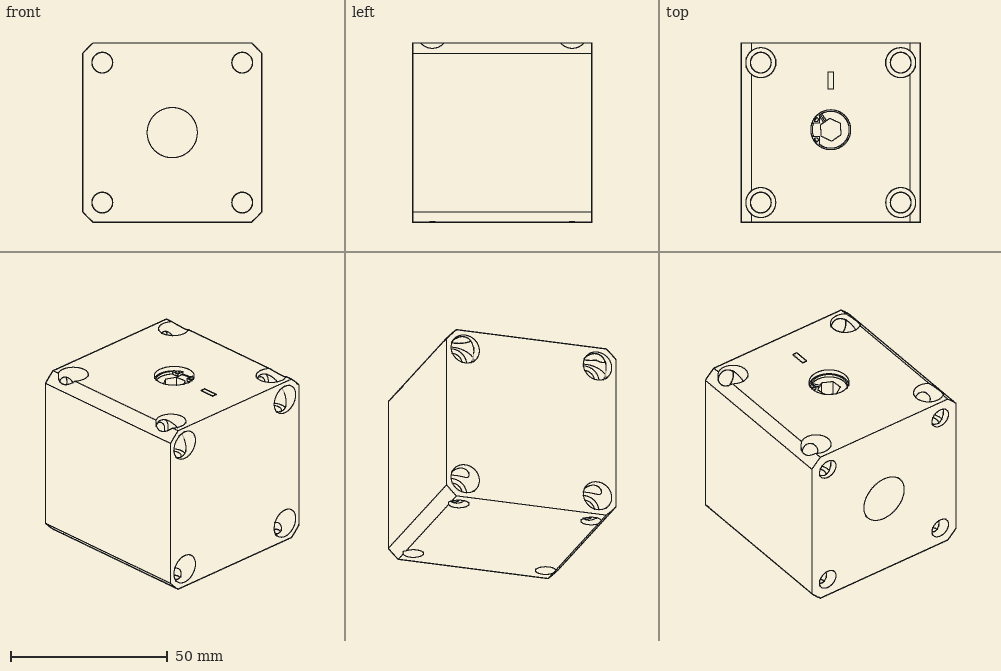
import cadquery as cq
import math

side = 57.15
half = side / 2
turned_diameter = 76.25
bore_diameter = 16.0
bore_depth = 20.0

hole_offset = 22.3
hole_diameter = 6.5
counterbore_diameter = 9.55
counterbore_depth = 12.45

mark_width = 1.6
mark_length = 5.3
mark_centre_y = 16.65
mark_depth = 0.1

cam_y = 0.9
cam_diameter = 11.8
pocket_diameter = 12.75
pocket_depth = 2.45
cam_top = half - pocket_depth
cam_height = 17.15
cam_bottom = cam_top - cam_height

hex_sector = 60.0
hex_across_flats = 6.35
hex_depth = 8.0
hex_turn = 4.5
pointer_angle = hex_turn + 2 * hex_sector
pointer_width = 1.05
pointer_depth = 0.3

ring_thickness = 0.9
ring_inner_diameter = cam_diameter
ear_inner_x = -3.65
ear_gap_half = 2.1
ear_end_y = 4.6
ear_hole_x = -4.6
ear_hole_y = 3.2
ear_hole_diameter = 1.25


def corner_points():
    return [(x, y) for x in (-hole_offset, hole_offset) for y in (-hole_offset, hole_offset)]


def cam_axis_cylinder(diameter, top, bottom):
    """Upright cylinder on the cam axis, between two heights."""
    return cq.Workplane("XY", origin=(0, cam_y, bottom)).circle(diameter / 2).extrude(top - bottom)


def counterbored_holes():
    """Cutter for four upright through holes, counterbored from the top."""
    holes = cq.Workplane("XY").pushPoints(corner_points()).circle(hole_diameter / 2).extrude(half, both=True)
    counterbores = (
        cq.Workplane("XY", origin=(0, 0, half))
        .pushPoints(corner_points())
        .circle(counterbore_diameter / 2)
        .extrude(-counterbore_depth)
    )
    return holes.union(counterbores)


def make_block():
    block = cq.Workplane("XY").box(side, side, side)
    turned_bar = cq.Workplane("XZ").circle(turned_diameter / 2).extrude(half, both=True)
    block = block.intersect(turned_bar)

    bore = cq.Workplane("XZ", origin=(0, -half, 0)).circle(bore_diameter / 2).extrude(-bore_depth)
    block = block.cut(bore)

    upright_holes = counterbored_holes()
    across_holes = upright_holes.rotate((0, 0, 0), (1, 0, 0), -90)
    block = block.cut(upright_holes).cut(across_holes)

    mark = (
        cq.Workplane("XY", origin=(0, mark_centre_y, half))
        .rect(mark_width, mark_length)
        .extrude(-mark_depth)
    )
    block = block.cut(mark)

    block = block.cut(cam_axis_cylinder(pocket_diameter, half, cam_top))
    return block.cut(cam_axis_cylinder(cam_diameter, cam_top, cam_bottom))


def make_cam():
    cam = cam_axis_cylinder(cam_diameter, cam_top, cam_bottom)
    half_sector = hex_sector / 2
    hex_corner_diameter = hex_across_flats / math.cos(math.radians(half_sector))
    socket = (
        cq.Workplane("XY", origin=(0, cam_y, cam_top))
        .transformed(rotate=(0, 0, hex_turn + half_sector))
        .polygon(6, hex_corner_diameter)
        .extrude(-hex_depth)
    )
    pointer = (
        cq.Workplane("YZ")
        .polyline([(-pointer_width / 2, 0), (pointer_width / 2, 0), (0, -pointer_depth)])
        .close()
        .extrude(cam_diameter / 2)
        .rotate((0, 0, 0), (0, 0, 1), pointer_angle)
        .translate((0, cam_y, cam_top))
    )
    return cam.cut(socket).cut(pointer)


def make_ring():
    disc = cq.Workplane("XY").circle(pocket_diameter / 2).extrude(ring_thickness)
    inside = cq.Workplane("XY").circle(ring_inner_diameter / 2).extrude(ring_thickness)
    gap = (
        cq.Workplane("XY", origin=(-pocket_diameter / 2, 0, 0))
        .rect(pocket_diameter, 2 * ear_gap_half)
        .extrude(ring_thickness)
    )
    ring = disc.cut(inside).cut(gap)
    ear_length = pocket_diameter / 2 + ear_inner_x
    for way in (-1, 1):
        ear_centre_y = way * (ear_gap_half + ear_end_y) / 2
        ear = (
            cq.Workplane("XY", origin=(ear_inner_x - ear_length / 2, ear_centre_y, 0))
            .rect(ear_length, ear_end_y - ear_gap_half)
            .extrude(ring_thickness)
            .intersect(disc)
        )
        hole = (
            cq.Workplane("XY", origin=(ear_hole_x, way * ear_hole_y, 0))
            .circle(ear_hole_diameter / 2)
            .extrude(ring_thickness)
        )
        ring = ring.union(ear).cut(hole)
    return ring.translate((0, cam_y, cam_top))


block = make_block()
cam = make_cam()
ring = make_ring()

result = cq.Compound.makeCompound([block.solids().val(), cam.solids().val(), ring.solids().val()])